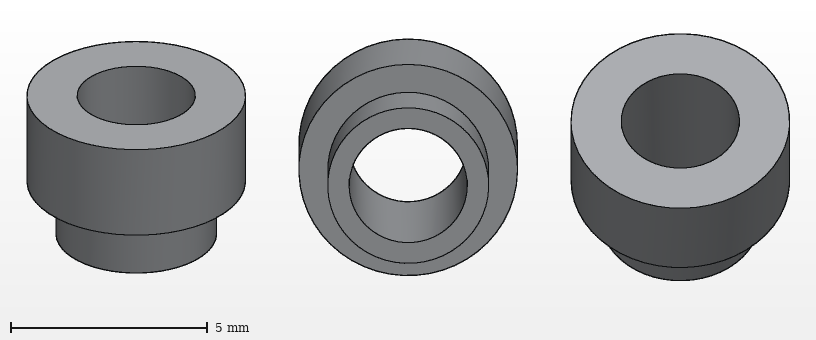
import cadquery as cq

collar_diameter = 5.56
spigot_diameter = 4.09
bore_diameter = 3.0
total_height = 4.03
collar_height = 2.5
spigot_height = total_height - collar_height

spigot = cq.Workplane("XY").circle(spigot_diameter / 2).extrude(spigot_height)
collar = (
    cq.Workplane("XY")
    .workplane(offset=spigot_height)
    .circle(collar_diameter / 2)
    .extrude(collar_height)
)

bore = cq.Workplane("XY").circle(bore_diameter / 2).extrude(total_height)

result = spigot.union(collar).cut(bore)